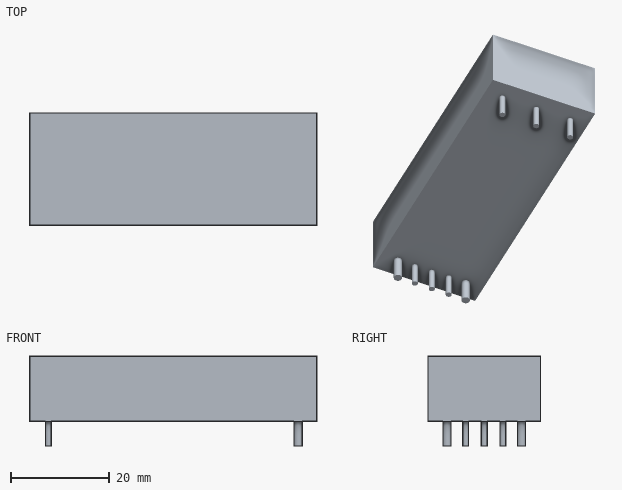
import cadquery as cq

housing_length = 58.4
housing_width = 22.9
overall_height = 18.3
pin_length = 5.0
housing_height = overall_height - pin_length

signal_diameter = 1.2
power_diameter = 1.7
pin_pitch = 3.8
row_inset = 3.8
input_row_x = -housing_length / 2 + row_inset
output_row_x = housing_length / 2 - row_inset

input_places = [(input_row_x, step * pin_pitch) for step in (-2, 0, 2)]
output_signal_places = [(output_row_x, step * pin_pitch) for step in (-1, 0, 1)]
output_power_places = [(output_row_x, step * pin_pitch) for step in (-2, 2)]


def make_housing():
    return cq.Workplane("XY").box(
        housing_length, housing_width, housing_height, centered=(True, True, False)
    )


def make_pin(place, diameter):
    """Round pin whose top end touches the underside of the housing."""
    return cq.Workplane("XY").center(*place).circle(diameter / 2).extrude(-pin_length)


housing = make_housing()
signal_pins = [make_pin(place, signal_diameter) for place in input_places + output_signal_places]
power_pins = [make_pin(place, power_diameter) for place in output_power_places]

result = cq.Compound.makeCompound(
    [housing.val()] + [pin.val() for pin in signal_pins + power_pins]
)